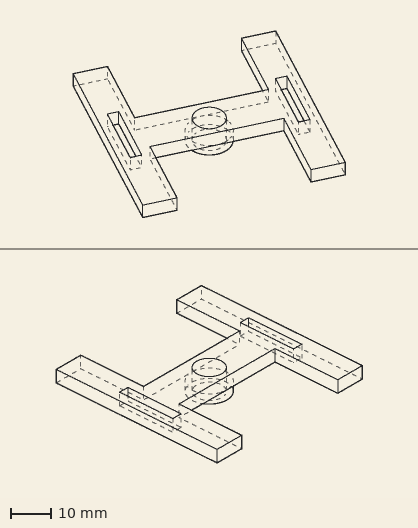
import cadquery as cq

plate_length = 54.5
plate_width = 53.0
plate_thickness = 4.0
crossbar_width = 9.0
web_width = 12.0

boss_diameter = web_width
boss_height = 3.0
bore_diameter = 8.5

slot_length = 18.0
slot_width = 3.0
slot_offset_x = -0.5

crossbar_center_y = (plate_width - crossbar_width) / 2
crossbar_centers = [(0, -crossbar_center_y), (0, crossbar_center_y)]
slot_centers = [(slot_offset_x, y) for _, y in crossbar_centers]


def make_plate():
    """H-shaped plate with its underside on Z = 0."""
    web = cq.Workplane("XY").rect(web_width, plate_width).extrude(plate_thickness)
    crossbars = (
        cq.Workplane("XY")
        .pushPoints(crossbar_centers)
        .rect(plate_length, crossbar_width)
        .extrude(plate_thickness)
    )
    return web.union(crossbars)


def make_boss():
    """Round boss hanging below the plate."""
    return cq.Workplane("XY").circle(boss_diameter / 2).extrude(-boss_height)


def make_slots():
    """Cutters for the two through slots."""
    return (
        cq.Workplane("XY")
        .pushPoints(slot_centers)
        .rect(slot_length, slot_width)
        .extrude(plate_thickness)
    )


def make_bore():
    """Cutter for the hole through plate and boss."""
    return (
        cq.Workplane("XY")
        .workplane(offset=-boss_height)
        .circle(bore_diameter / 2)
        .extrude(boss_height + plate_thickness)
    )


result = make_plate().union(make_boss()).cut(make_slots()).cut(make_bore())